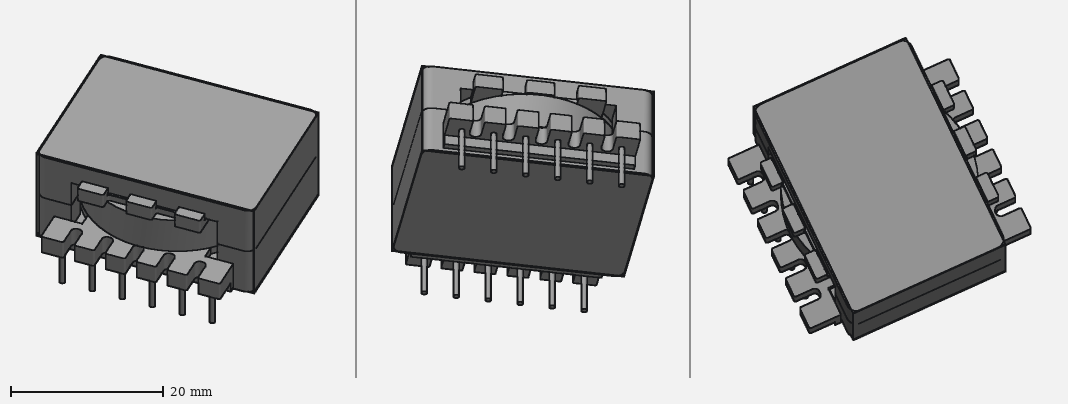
import cadquery as cq


tape_length = 31.05
tape_height = 14.05
tape_width = 22.1
tape_thickness = 0.1
core_length = tape_length - 2 * tape_thickness
core_height = tape_height - 2 * tape_thickness
core_width = 22.6
core_corner_radius = 1.3
window_radius = 13.3
window_half_height = 3.78
opening_width = 20.8
post_radius = 5.5

winding_radius = 13.0
winding_top = 2.82
winding_bottom = -2.44
flange_radius = 13.0
tube_radius = 6.5
upper_flange_top = window_half_height
lower_flange_bottom = -3.52
edge_radius = 0.25

tab_count = 3
tab_pitch = 6.9
tab_width = 3.7
tab_row_width = (tab_count - 1) * tab_pitch + tab_width
tab_top = 4.88
tab_inner_y = 11.64
tab_outer_y = 13.26

rail_length = 25.5
rail_inner_y = 11.54
rail_outer_y = 16.08
rail_bottom = -5.1
foot_depth = 0.85
foot_bottom = -6.59
slot_count = 5
slot_pitch = 4.4
slot_width = 1.55
slot_end_y = 12.76
slot_corner_radius = 0.7

pin_count = 6
pin_pitch = 4.275
pin_diameter = 0.75
overall_height = 18.29
pin_y = 13.74
pin_bottom = tape_height / 2 - overall_height


def block(x_size, y_range, z_range):
    """Box centred on X that spans the given Y and Z ranges."""
    y_size = y_range[1] - y_range[0]
    z_size = z_range[1] - z_range[0]
    corner = (-x_size / 2, y_range[0], z_range[0])
    return cq.Workplane("XY").box(x_size, y_size, z_size, centered=False).translate(corner)


def disc(radius, z_range):
    """Cylinder about the Z axis that spans the given Z range."""
    return cq.Workplane("XY").workplane(offset=z_range[0]).circle(radius).extrude(z_range[1] - z_range[0])


def centred_positions(count, pitch):
    return [(i - (count - 1) / 2) * pitch for i in range(count)]


def make_core_half():
    """Upper half: rounded block with a round window, an opening to each Y side and a round post."""
    half_height = core_height / 2
    window = (0, window_half_height)
    body = block(core_length, (-core_width / 2, core_width / 2), (0, half_height))
    body = body.edges("|Z").fillet(core_corner_radius)
    opening = block(opening_width, (-core_width / 2, core_width / 2), window)
    return body.cut(disc(window_radius, window)).cut(opening).union(disc(post_radius, (0, half_height)))


def make_tape():
    """Thin closed loop round the core's top, bottom and X sides."""
    y_range = (-tape_width / 2, tape_width / 2)
    outside = block(tape_length, y_range, (-tape_height / 2, tape_height / 2))
    return outside.cut(block(core_length, y_range, (-core_height / 2, core_height / 2)))


def make_winding():
    """Ring of wire that fills the space between the flanges."""
    z_range = (winding_bottom, winding_top)
    return disc(winding_radius, z_range).cut(disc(tube_radius, z_range))


def make_flange_plate(half_width, z_range):
    """Disc clipped at the given Y half width, with a straight-sided bar right across it."""
    y_range = (-half_width, half_width)
    plate = disc(flange_radius, z_range).intersect(block(2 * flange_radius, y_range, z_range))
    return plate.union(block(tab_row_width, y_range, z_range))


def make_tab_row():
    """Raised tabs on the +Y side, joined to the flange edge by rounded inner corners."""
    row = block(tab_row_width, (tab_inner_y, tab_outer_y), (winding_top, tab_top))
    ledge = block(tab_row_width, (tab_inner_y, tab_outer_y), (winding_top, upper_flange_top))
    gap_width = tab_pitch - tab_width
    for gap_x in centred_positions(tab_count - 1, tab_pitch):
        gap = block(gap_width, (tab_inner_y, tab_outer_y), (winding_top, tab_top)).translate((gap_x, 0, 0))
        row = row.cut(gap)
        ledge = ledge.cut(gap.edges("|Z and <Y").fillet(edge_radius))
    row = row.edges("|Z and >Y").fillet(edge_radius)
    ledge = ledge.edges("|Z and >Y").fillet(edge_radius)
    return row.union(ledge)


def make_upper_flange():
    tab_row = make_tab_row()
    plate = make_flange_plate(tab_inner_y, (winding_top, upper_flange_top))
    return plate.union(tab_row).union(tab_row.mirror("XZ"))


def make_lower_flange():
    return make_flange_plate(rail_inner_y, (lower_flange_bottom, winding_bottom))


def make_slot(slot_x):
    """Cutter for one slot, open at the rail's outer side and rounded at its inner end."""
    slot = block(slot_width, (slot_end_y, rail_outer_y), (rail_bottom, winding_bottom))
    return slot.edges("|Z and <Y").fillet(slot_corner_radius).translate((slot_x, 0, 0))


def make_pin_rail():
    """Toothed rail on the +Y side, with its foot and pins."""
    rail = block(rail_length, (rail_inner_y, rail_outer_y), (rail_bottom, winding_bottom))
    for slot_x in centred_positions(slot_count, slot_pitch):
        rail = rail.cut(make_slot(slot_x))
    rail = rail.edges("|Z and >Y").fillet(edge_radius)
    foot = block(rail_length, (rail_inner_y, rail_inner_y + foot_depth), (foot_bottom, rail_bottom))
    rail = rail.union(foot)
    for pin_x in centred_positions(pin_count, pin_pitch):
        pin = disc(pin_diameter / 2, (pin_bottom, rail_bottom)).translate((pin_x, pin_y, 0))
        rail = rail.union(pin)
    return rail


def make_bobbin():
    """Flanged tube round the core post, carrying the tabs, rails and pins."""
    rail = make_pin_rail()
    bobbin = disc(tube_radius, (lower_flange_bottom, upper_flange_top))
    bobbin = bobbin.union(make_upper_flange()).union(make_lower_flange())
    bobbin = bobbin.union(rail).union(rail.mirror("XZ"))
    return bobbin.cut(disc(post_radius, (lower_flange_bottom, upper_flange_top)))


upper_core = make_core_half()
lower_core = upper_core.mirror("XY")
tape = make_tape()
winding = make_winding()
bobbin = make_bobbin()

result = cq.Compound.makeCompound(
    [upper_core.val(), lower_core.val(), tape.val(), winding.val(), bobbin.val()]
)